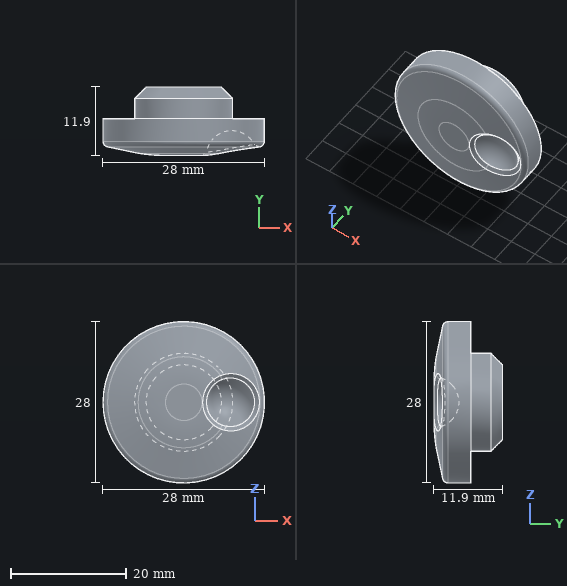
import cadquery as cq
import math

total_depth = 11.9
head_radius = 14.0
rim_round = 1.0
cone_angle = math.radians(11.8)
flat_radius = 3.15
crown_radius = 7.9
crown_rise = 0.4
boss_radius = 17.0 / 2
boss_length = 5.5
boss_chamfer = 2.0

dimple_offset = 8.32
dimple_ball_radius = 4.42
dimple_centre_height = 0.55
dimple_chamfer = 0.62

back_y = total_depth / 2
front_y = -back_y
head_back_y = back_y - boss_length

crown_width = crown_radius - flat_radius
crown_arc_radius = (crown_width**2 + crown_rise**2) / (2 * crown_rise)
crown_end_angle = math.asin(crown_width / crown_arc_radius)


def crown_point(angle):
    """Point of the crown arc at the given slope, as (radius, Y)."""
    return (
        flat_radius + crown_arc_radius * math.sin(angle),
        front_y + crown_arc_radius * (1 - math.cos(angle)),
    )


def cone_y(radius):
    """Y of the conical front face at the given distance from the axis."""
    return front_y + crown_rise + (radius - crown_radius) * math.tan(cone_angle)


def make_body():
    """Turned head with a domed front and a chamfered boss behind."""
    round_radius = head_radius - rim_round
    round_y = cone_y(round_radius) + rim_round / math.cos(cone_angle)

    def rim_point(angle):
        """Point of the rim round whose tangent has the given slope."""
        return (
            round_radius + rim_round * math.sin(angle),
            round_y - rim_round * math.cos(angle),
        )

    middle_angle = (cone_angle + math.pi / 2) / 2
    profile = (
        cq.Workplane("XY")
        .moveTo(0, front_y)
        .lineTo(flat_radius, front_y)
        .threePointArc(crown_point(crown_end_angle / 2), crown_point(crown_end_angle))
        .lineTo(*rim_point(cone_angle))
        .threePointArc(rim_point(middle_angle), rim_point(math.pi / 2))
        .lineTo(head_radius, head_back_y)
        .lineTo(boss_radius, head_back_y)
        .lineTo(boss_radius, back_y - boss_chamfer)
        .lineTo(boss_radius - boss_chamfer, back_y)
        .lineTo(0, back_y)
        .close()
    )
    head = profile.revolve(360, (0, 0, 0), (0, 1, 0))
    return head.rotate((0, 0, 0), (0, 1, 0), 180)


def cut_dimple(body):
    """Hollow out the finger dimple and chamfer its mouth."""
    centre_y = cone_y(dimple_offset) - dimple_centre_height
    ball = cq.Workplane("XY").sphere(dimple_ball_radius).rotate((0, 0, 0), (0, 0, 1), -90)
    ball = ball.translate((dimple_offset, centre_y, 0))

    reach = dimple_ball_radius + 0.28
    mouth = cq.selectors.BoxSelector(
        (dimple_offset - reach, centre_y - reach, -reach),
        (dimple_offset + reach, centre_y + reach, reach),
        boundingbox=True,
    )
    return body.cut(ball).edges(mouth).chamfer(dimple_chamfer)


result = cut_dimple(make_body())